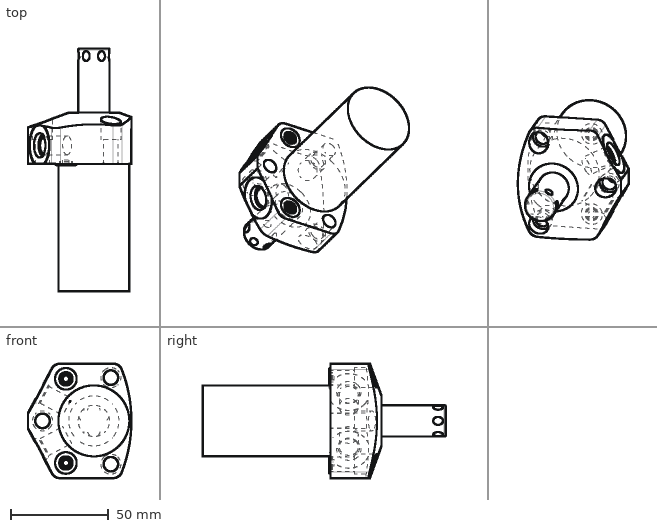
import cadquery as cq
import math


total_length = 124.1
body_length = 65.1
rod_tip = total_length - body_length

body_diameter = 36.2
rod_diameter = 16.0
body_radius = body_diameter / 2
rod_radius = rod_diameter / 2
tip_fillet = 0.9

pit_count = 6
pit_y = 55.0
pit_radius = 2.5
pit_tip_angle = 118.0

half_height = 29.3
left_x = -33.6
left_flat_half_height = 4.0
upper_left_x = -20.1
right_x = 19.2
right_arc_radius = 72.0
corner_radius = 5.0

flange_thickness = 26.2
plateau_radius = 12.8
cone_drop_angle = 20.0
blank_radius = 49.6
selection_margin = 1.2

hole_diameter = 7.3
counterbore_diameter = 10.2
counterbore_seat_y = 12.4
left_hole_x = -26.2
right_hole_x = 8.7
right_hole_z = 22.1

port_y = 9.4
port_z = 14.8
spotface_radius = 10.7
spotface_depth = 0.2
port_mouth_radius = 6.2
port_seat_radius = 5.5
port_seat_depth = 2.5
port_bore_radius = 4.8
port_step_depth = 3.1
port_depth = 16.1

plug_x = -14.3
plug_z = 21.5
ring_radius = 4.5
ring_tube_radius = 1.1
ring_protrusion = 0.7
groove_outer_radius = 3.4
groove_depth = 1.1
plug_disc_radius = 2.9
plug_disc_depth = 0.2
plug_disc_chamfer = 0.2
plug_hole_radius = 1.68
plug_hole_depth = 1.9

AXIS_START = (0, 0)
AXIS_END = (0, 1)


def turned(points):
    """Solid of revolution about Y from (radius, y) points."""
    return cq.Workplane("XY").polyline(points).close().revolve(360, AXIS_START, AXIS_END)


def make_flange():
    """Prism of the flange outline, trimmed by a truncated cone on the rod side."""
    arc_center_x = right_x - right_arc_radius
    upper_right_x = arc_center_x + math.sqrt(right_arc_radius**2 - half_height**2)
    prism = (
        cq.Workplane("XZ")
        .moveTo(left_x, -left_flat_half_height)
        .lineTo(upper_left_x, -half_height)
        .lineTo(upper_right_x, -half_height)
        .threePointArc((right_x, 0), (upper_right_x, half_height))
        .lineTo(upper_left_x, half_height)
        .lineTo(left_x, left_flat_half_height)
        .close()
        .extrude(-flange_thickness)
    )
    rounded_corners = cq.selectors.BoxSelector(
        (upper_left_x - selection_margin, 0, -blank_radius),
        (upper_right_x + selection_margin, flange_thickness, blank_radius),
    )
    prism = prism.edges("|Y").edges(rounded_corners).fillet(corner_radius)

    cone_drop = (blank_radius - plateau_radius) * math.tan(math.radians(cone_drop_angle))
    blank = turned([
        (0, 0),
        (blank_radius, 0),
        (blank_radius, flange_thickness - cone_drop),
        (plateau_radius, flange_thickness),
        (0, flange_thickness),
    ])
    return prism.intersect(blank)


def make_body_and_rod():
    """Stepped shaft: large cylinder behind the flange, rod with a rounded tip in front."""
    shaft = turned([
        (0, -body_length),
        (body_radius, -body_length),
        (body_radius, 0),
        (rod_radius, 0),
        (rod_radius, rod_tip),
        (0, rod_tip),
    ])
    return shaft.faces(">Y").edges().fillet(tip_fillet)


def make_rod_pits():
    """Drill-point cones, evenly spaced around the rod."""
    cone_depth = pit_radius / math.tan(math.radians(pit_tip_angle / 2))
    pits = cq.Workplane("XY")
    for index in range(pit_count):
        angle = math.radians(index * 360 / pit_count)
        outward = cq.Vector(math.cos(angle), 0, math.sin(angle))
        mouth = outward * rod_radius + cq.Vector(0, pit_y, 0)
        pits = pits.add(cq.Solid.makeCone(pit_radius, 0, cone_depth, mouth, outward * -1))
    return pits.combine()


def make_mounting_holes():
    """Through holes, each counterbored from the rod side."""
    centers = [(left_hole_x, 0), (right_hole_x, right_hole_z), (right_hole_x, -right_hole_z)]
    drills = cq.Workplane("XZ").pushPoints(centers).circle(hole_diameter / 2).extrude(-flange_thickness)
    counterbores = (
        cq.Workplane("XZ", origin=(0, counterbore_seat_y, 0))
        .pushPoints(centers)
        .circle(counterbore_diameter / 2)
        .extrude(-flange_thickness)
    )
    return drills.union(counterbores)


def make_port(side):
    """Cutter for one port; side is +1 for the upper slanted face and -1 for the lower."""
    run = upper_left_x - left_x
    rise = half_height - left_flat_half_height
    face_x = left_x + (port_z - left_flat_half_height) * run / rise
    port_plane = cq.Plane(
        origin=(face_x, port_y, side * port_z),
        xDir=(0, 1, 0),
        normal=(-rise, 0, side * run),
    )
    profile = [
        (0, spotface_depth),
        (spotface_radius, spotface_depth),
        (spotface_radius, -spotface_depth),
        (port_mouth_radius, -spotface_depth),
        (port_seat_radius, -port_seat_depth),
        (port_bore_radius, -port_step_depth),
        (port_bore_radius, -port_depth),
        (0, -port_depth),
    ]
    cutter = cq.Workplane("XZ").polyline(profile).close().revolve(360, AXIS_START, AXIS_END)
    return cq.Workplane(cutter.val().moved(cq.Location(port_plane)))


def make_plug_ring(side):
    """Rounded ring standing proud of the rear face."""
    ring = (
        cq.Workplane("XY")
        .center(ring_radius, ring_tube_radius - ring_protrusion)
        .circle(ring_tube_radius)
        .revolve(360, (-ring_radius, 0), (-ring_radius, 1))
    )
    return ring.translate((plug_x, 0, side * plug_z))


def make_plug_recess(side):
    """Cutter inside the ring: a groove around a chamfered disc with a blind center hole."""
    recess = turned([
        (0, -ring_protrusion),
        (groove_outer_radius, -ring_protrusion),
        (groove_outer_radius, groove_depth),
        (plug_disc_radius, groove_depth),
        (plug_disc_radius, plug_disc_depth + plug_disc_chamfer),
        (plug_disc_radius - plug_disc_chamfer, plug_disc_depth),
        (plug_hole_radius, plug_disc_depth),
        (plug_hole_radius, plug_hole_depth),
        (0, plug_hole_depth),
    ])
    return recess.translate((plug_x, 0, side * plug_z))


result = make_flange().union(make_body_and_rod())
result = result.cut(make_rod_pits()).cut(make_mounting_holes())
for side in (1, -1):
    result = result.cut(make_port(side))
    result = result.union(make_plug_ring(side))
    result = result.cut(make_plug_recess(side))